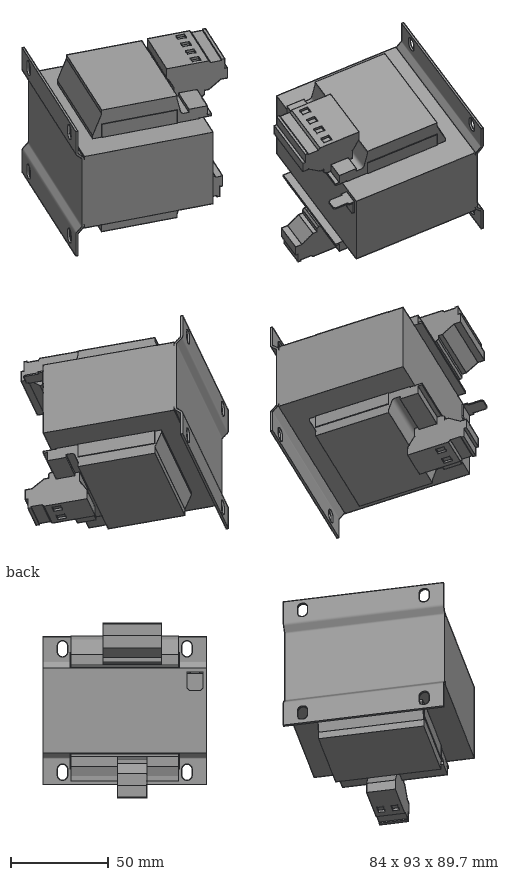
import cadquery as cq
import math


width = 84.0
core_front = 4.65
core_rear = 74.5
core_top = 21.9

sheet = 1.2
flange_end = 38.0
flange_bend = 24.0
web_face = core_front - sheet
flange_bend_radius = 0.9
web_bend_radius = 1.4
slot_length = 8.2
slot_width = 5.2
slot_x = 31.9
slot_z = 31.6

bobbin_width = 55.2
coil_width = 55.9
coil_top = 29.9
coil_front = 19.1
coil_rear = 60.0
rail_front = 66.4
rail_rear = 76.5
rail_top = 28.75
groove_floor = 26.9
groove_corner = 62.25
groove_radius = 2.05
lip_rear = 78.7
lip_top = 23.45
lip_bottom = 22.2
lip_root = 72.1

overall_depth = 93.05
terminal_top = 44.85
terminal_shoulder = 43.6
terminal_shoulder_front = 83.9
terminal_bead_top = 44.4
terminal_bead_front = 89.9
terminal_bead_rear = 91.6
terminal_nose_top = 38.4
terminal_nose_bottom = 32.2
terminal_nose_front = 89.4
terminal_neck = 82.9
terminal_stem_top = 27.3
terminal_stem_rear = 80.6
terminal_stem_front = 63.9
terminal_slope_top = 39.3
terminal_slope_bottom = 32.6
terminal_foot = 23.8
terminal_foot_chamfer = 1.1
terminal_width = 15.1
terminal_x = -3.8
wire_pitch = 7.4
wire_hole_width = 3.4
wire_hole_length = 4.65
wire_hole_y = 77.0
wire_hole_depth = 1.4

tab_x = -36.0
tab_thickness = 0.8
tab_top = 19.7
tab_end = 86.0
blade_width = 6.1
base_width = 8.0
base_end = 77.8
base_bottom = 10.3
tab_chamfer = 1.1
blade_chamfer_x = 0.7


def side_prism(points, prism_width, center_x=0):
    """Extrude a (Y, Z) outline along X, centred on center_x."""
    outline = cq.Workplane("YZ").polyline(points).close()
    return outline.extrude(prism_width / 2, both=True).translate((center_x, 0, 0))


def underside(body):
    """Mirror a body from above the core to below it."""
    return body.mirror("XY")


def block(x_size, y_start, y_end, z_start, z_end):
    """Box centred on X = 0 between the given Y and Z limits."""
    size = (x_size, y_end - y_start, z_end - z_start)
    return cq.Workplane("XY").box(*size, centered=(True, False, False)).translate((0, y_start, z_start))


def make_bracket():
    """Flat web with a 45 degree joggle out to a slotted flange above and below."""
    back_shift = sheet * math.tan(math.radians(22.5))
    web_bend = flange_bend - web_face
    front_upper = [(web_face, web_bend), (0, flange_bend), (0, flange_end)]
    back_upper = [
        (sheet, flange_end),
        (sheet, flange_bend + back_shift),
        (core_front, web_bend + back_shift),
    ]
    upper = front_upper + back_upper
    lower = [(y, -z) for y, z in reversed(upper)]
    bracket = side_prism(upper + lower, width)

    bends = [
        (front_upper[0], web_bend_radius),
        (front_upper[1], flange_bend_radius + sheet),
        (back_upper[1], flange_bend_radius),
        (back_upper[2], web_bend_radius + sheet),
    ]
    for (y, z), radius in bends:
        for side in (1, -1):
            bracket = bracket.edges(cq.NearestToPointSelector((0, y, side * z))).fillet(radius)

    slots = (
        cq.Workplane("XZ")
        .rarray(2 * slot_x, 2 * slot_z, 2, 2)
        .slot2D(slot_length, slot_width, 90)
        .extrude(-sheet)
    )
    return bracket.cut(slots)


def make_bobbin(top, rear_slope_top, front_slope_top, front_foot, front_slope_foot):
    """Bobbin half above the core, with a rear terminal rail, groove and thin lip."""
    outline = [
        (front_foot, core_top),
        (front_foot, front_slope_foot),
        (coil_front, front_slope_top),
        (coil_front, top),
        (coil_rear, top),
        (coil_rear, rear_slope_top),
        (groove_corner, groove_floor),
        (rail_front, groove_floor),
        (rail_front, rail_top),
        (rail_rear, rail_top),
        (rail_rear, lip_top),
        (lip_rear, lip_top),
        (lip_rear, lip_bottom),
        (lip_root, lip_bottom),
        (lip_root, core_top),
    ]
    bobbin = side_prism(outline, bobbin_width)
    groove_edge = cq.NearestToPointSelector((0, groove_corner, groove_floor))
    return bobbin.edges(groove_edge).fillet(groove_radius)


def make_terminals(count):
    """Row of terminals above the core, with two wire holes in the top of each."""
    outline = [
        (coil_rear, terminal_top),
        (terminal_neck, terminal_top),
        (terminal_shoulder_front, terminal_shoulder),
        (terminal_bead_front, terminal_shoulder),
        (terminal_bead_front, terminal_bead_top),
        (terminal_bead_rear, terminal_bead_top),
        (terminal_bead_rear, terminal_nose_top),
        (overall_depth, terminal_nose_top),
        (overall_depth, terminal_nose_bottom),
        (terminal_nose_front, terminal_nose_bottom),
        (terminal_neck, terminal_stem_top),
        (terminal_stem_rear, terminal_stem_top),
        (terminal_stem_rear, terminal_foot + terminal_foot_chamfer),
        (terminal_stem_rear - terminal_foot_chamfer, terminal_foot),
        (rail_rear, terminal_foot),
        (rail_rear, groove_floor),
        (terminal_stem_front, groove_floor),
        (terminal_stem_front, terminal_slope_bottom),
        (coil_rear, terminal_slope_top),
    ]
    terminals = side_prism(outline, count * terminal_width, terminal_x)
    holes = (
        cq.Workplane("XY", origin=(terminal_x, wire_hole_y, terminal_top))
        .rarray(wire_pitch, 0.9, 2 * count, 1)
        .rect(wire_hole_width, wire_hole_length)
        .extrude(-wire_hole_depth)
    )
    return terminals.cut(holes)


def make_earth_tab():
    """L-shaped sheet tab: a base against the core's rear face and a narrower blade."""
    base = block(base_width, core_rear, base_end, tab_top - tab_thickness, tab_top)
    leg = block(base_width, core_rear, core_rear + tab_thickness, base_bottom, tab_top)
    leg = leg.edges("|Y and <Z").chamfer(tab_chamfer)
    half_blade = blade_width / 2
    blade_length = tab_end - core_rear
    blade = (
        cq.Workplane("XY", origin=(0, core_rear, tab_top))
        .polyline([
            (-half_blade, 0),
            (-half_blade, blade_length - tab_chamfer),
            (blade_chamfer_x - half_blade, blade_length),
            (half_blade - blade_chamfer_x, blade_length),
            (half_blade, blade_length - tab_chamfer),
            (half_blade, 0),
        ])
        .close()
        .extrude(-tab_thickness)
    )
    return base.union(leg).union(blade).translate((tab_x, 0, 0))


core = block(width, core_front, core_rear, -core_top, core_top)
coil = block(coil_width, coil_front, coil_rear, -coil_top, coil_top)
upper_bobbin = make_bobbin(
    top=38.3, rear_slope_top=36.3, front_slope_top=36.1, front_foot=14.1, front_slope_foot=23.8
)
lower_bobbin = make_bobbin(
    top=36.0, rear_slope_top=33.8, front_slope_top=32.0, front_foot=15.5, front_slope_foot=23.45
)

result = (
    core.union(coil)
    .union(make_bracket())
    .union(upper_bobbin)
    .union(underside(lower_bobbin))
    .union(make_terminals(2))
    .union(underside(make_terminals(1)))
    .union(make_earth_tab())
)